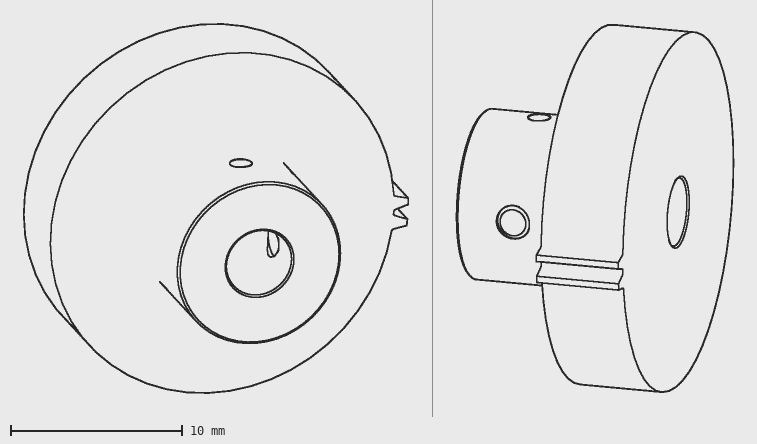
import cadquery as cq
import math

disc_width = 5.0
root_radius = 10.53
overlap = 0.22

tooth_count = 55
modelled_teeth = 2
tooth_pitch = 360 / tooth_count
tip_radius = 11.4
tip_half_width = 0.2
root_half_width = 0.44
root_fillet = 0.15

hub_length = 7.0
hub_radius = disc_width
hub_fillet = 0.2
hub_chamfer = 0.13
bore_radius = 2.0
bore_chamfer = 0.1

radial_x = disc_width + hub_length / 2
pit_radius = 0.65
pit_angle = 120
screw_radius = 1.0
screw_chamfer = 0.22


def tooth(angle):
    """Straight-flanked tooth, turned by angle from +Y towards -Z."""
    flank_slope = (root_half_width - tip_half_width) / (tip_radius - root_radius)
    base_radius = root_radius - overlap
    base_half_width = root_half_width + overlap * flank_slope
    return (
        cq.Workplane("YZ")
        .polyline([
            (base_radius, -base_half_width),
            (tip_radius, -tip_half_width),
            (tip_radius, tip_half_width),
            (base_radius, base_half_width),
        ])
        .close()
        .extrude(disc_width)
        .rotate((0, 0, 0), (1, 0, 0), -angle)
    )


def make_gear_disc():
    """Disc with its teeth, each rounded where its flanks meet the root cylinder."""
    disc = cq.Workplane("YZ").circle(root_radius).extrude(disc_width)
    for index in range(modelled_teeth):
        disc = disc.union(tooth(index * tooth_pitch))
    edge_limit = (root_radius + tip_radius) / 2
    root_edges = [
        edge for edge in disc.edges("|X").vals()
        if edge.Center().y > 0
        and abs(edge.Center().z) > root_half_width / 2
        and math.hypot(edge.Center().y, edge.Center().z) < edge_limit
    ]
    return disc.newObject(root_edges).fillet(root_fillet)


def make_hub():
    """Cylinder with a chamfered free end and a fillet flaring out to the disc."""
    end_x = disc_width + hub_length
    flare_radius = hub_radius + hub_fillet
    arc_offset = hub_fillet * (1 - math.sqrt(0.5))
    return (
        cq.Workplane("XY")
        .moveTo(disc_width, 0)
        .lineTo(disc_width, flare_radius)
        .threePointArc(
            (disc_width + arc_offset, hub_radius + arc_offset),
            (disc_width + hub_fillet, hub_radius),
        )
        .lineTo(end_x - hub_chamfer, hub_radius)
        .lineTo(end_x, hub_radius - hub_chamfer)
        .lineTo(end_x, 0)
        .close()
        .revolve(360, (0, 0, 0), (1, 0, 0))
    )


def make_bore():
    """Through bore cutter, widened by a chamfer at both ends."""
    length = disc_width + hub_length
    mouth_radius = bore_radius + bore_chamfer
    return (
        cq.Workplane("XY")
        .polyline([
            (0, 0),
            (0, mouth_radius),
            (bore_chamfer, bore_radius),
            (length - bore_chamfer, bore_radius),
            (length, mouth_radius),
            (length, 0),
        ])
        .close()
        .revolve(360, (0, 0, 0), (1, 0, 0))
    )


def make_pit():
    """Conical pit cutter in the +Z side of the hub, continued above the surface."""
    slope = math.tan(math.radians(pit_angle / 2))
    rim_z = math.sqrt(hub_radius**2 - pit_radius**2)
    tip_z = rim_z - pit_radius / slope
    return (
        cq.Workplane("XZ")
        .polyline([
            (0, tip_z),
            (pit_radius, rim_z),
            (pit_radius, hub_radius + overlap),
            (0, hub_radius + overlap),
        ])
        .close()
        .revolve(360, (0, 0, 0), (0, 1, 0))
        .translate((radial_x, 0, 0))
    )


def radial_cylinder(start_y, end_y):
    """Cylinder of the screw's radius along +Y."""
    return (
        cq.Workplane("XZ", origin=(radial_x, start_y, 0))
        .circle(screw_radius)
        .extrude(start_y - end_y)
    )


def make_gear():
    gear = make_gear_disc().union(make_hub())
    gear = gear.cut(make_bore())
    gear = gear.cut(make_pit())
    return gear.cut(radial_cylinder(0, hub_radius + overlap)).solids()


def make_set_screw():
    """Headless screw from the bore wall to the hub surface."""
    return radial_cylinder(bore_radius, hub_radius).faces(">Y").chamfer(screw_chamfer)


gear = make_gear()
set_screw = make_set_screw()

result = cq.Compound.makeCompound([gear.val(), set_screw.val()])